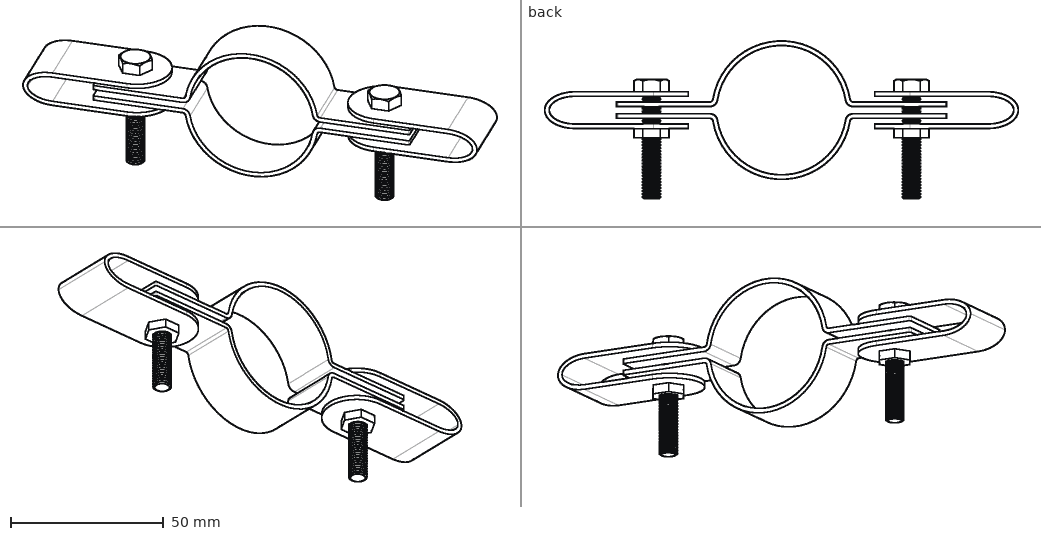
import cadquery as cq
import math

strap_thickness = 1.55
clamp_width = 20.0
clamp_outer_radius = 22.75
clamp_inner_radius = clamp_outer_radius - strap_thickness
clamp_half_height = 22.67
arch_center_z = clamp_half_height - clamp_outer_radius
flange_gap = 2.3
flange_end_x = 54.0
flange_corner_radius = 0.5
bend_inside_radius = 1.0
bend_outside_radius = bend_inside_radius + strap_thickness

loop_width = 23.0
loop_end_x = 77.5
loop_half_height = 6.05
loop_nose_length = 10.0
loop_tab_radius = loop_width / 2
loop_tab_center_x = 42.0
loop_tab_tip_x = loop_tab_center_x - loop_tab_radius

bolt_x = 42.5
bolt_diameter = 6.0
bolt_length = 35.0
hex_across_flats = 10.0
hex_across_corners = hex_across_flats / math.cos(math.radians(30))
head_height = 4.0
head_top_diameter = 9.8
head_chamfer_angle = 30.0
nut_height = 3.0
thread_pitch = 1.0
thread_depth = 0.54
thread_crest_width = 0.125
thread_root_width = 0.125

sides = (-1, 1)


def bolt_holes():
    """Cutting cylinders at both bolt positions, tall enough for all straps."""
    return (
        cq.Workplane("XY", origin=(0, 0, -loop_half_height))
        .pushPoints([(side * bolt_x, 0) for side in sides])
        .circle(bolt_diameter / 2)
        .extrude(2 * loop_half_height)
    )


def clamp_half():
    """Upper half: an arched strap with a flat flange on each side."""
    flange_bottom = flange_gap / 2
    flange_top = flange_bottom + strap_thickness

    bend_center_z = flange_top + bend_inside_radius
    bend_distance = clamp_outer_radius + bend_inside_radius
    arch_start = math.asin((bend_center_z - arch_center_z) / bend_distance)
    bend_center_x = bend_distance * math.cos(arch_start)
    bend_end_at_arch = arch_start + math.pi
    bend_end_at_flange = 1.5 * math.pi
    bend_middle = (bend_end_at_arch + bend_end_at_flange) / 2

    def on_arch(radius, side):
        return (
            side * radius * math.cos(arch_start),
            arch_center_z + radius * math.sin(arch_start),
        )

    def on_bend(radius, side):
        return (
            side * (bend_center_x + radius * math.cos(bend_middle)),
            bend_center_z + radius * math.sin(bend_middle),
        )

    arch_crown_inside = (0, arch_center_z + clamp_inner_radius)
    arch_crown_outside = (0, clamp_half_height)

    strap = (
        cq.Workplane("XZ", origin=(0, clamp_width / 2, 0))
        .moveTo(-flange_end_x, flange_bottom)
        .lineTo(-bend_center_x, flange_bottom)
        .threePointArc(on_bend(bend_outside_radius, -1), on_arch(clamp_inner_radius, -1))
        .threePointArc(arch_crown_inside, on_arch(clamp_inner_radius, 1))
        .threePointArc(on_bend(bend_outside_radius, 1), (bend_center_x, flange_bottom))
        .lineTo(flange_end_x, flange_bottom)
        .lineTo(flange_end_x, flange_top)
        .lineTo(bend_center_x, flange_top)
        .threePointArc(on_bend(bend_inside_radius, 1), on_arch(clamp_outer_radius, 1))
        .threePointArc(arch_crown_outside, on_arch(clamp_outer_radius, -1))
        .threePointArc(on_bend(bend_inside_radius, -1), (-bend_center_x, flange_top))
        .lineTo(-flange_end_x, flange_top)
        .close()
        .extrude(clamp_width)
    )
    strap = strap.edges("|Z").fillet(flange_corner_radius)
    return strap.cut(bolt_holes())


def loop_section(nose_length, half_height):
    """Block across Z = 0 whose +X end is a half ellipse."""
    nose_start_x = loop_end_x - loop_nose_length
    return (
        cq.Workplane("XZ", origin=(0, loop_width / 2, 0))
        .moveTo(loop_tab_tip_x, -half_height)
        .lineTo(nose_start_x, -half_height)
        .ellipseArc(nose_length, half_height, -90, 0, startAtCurrent=True)
        .ellipseArc(nose_length, half_height, 0, 90, startAtCurrent=True)
        .lineTo(loop_tab_tip_x, half_height)
        .close()
        .extrude(loop_width)
    )


def hanger_loop():
    """Strap folded back on itself on the +X side, with rounded tab ends."""
    outside = loop_section(loop_nose_length, loop_half_height)
    inside = loop_section(loop_nose_length - strap_thickness, loop_half_height - strap_thickness)
    plan = (
        cq.Workplane("XY", origin=(0, 0, -loop_half_height))
        .moveTo(loop_end_x, -loop_tab_radius)
        .lineTo(loop_end_x, loop_tab_radius)
        .lineTo(loop_tab_center_x, loop_tab_radius)
        .threePointArc((loop_tab_tip_x, 0), (loop_tab_center_x, -loop_tab_radius))
        .close()
        .extrude(2 * loop_half_height)
    )
    return outside.cut(inside).intersect(plan).cut(bolt_holes())


def bolt_head():
    """Hexagon head with its top corners beveled by a cone."""
    head = cq.Workplane("XY").polygon(6, hex_across_corners).extrude(head_height)
    corner_radius = hex_across_corners / 2
    flat_radius = head_top_diameter / 2
    bevel_drop = (corner_radius - flat_radius) * math.tan(math.radians(head_chamfer_angle))
    bevel_envelope = (
        cq.Workplane("XZ")
        .lineTo(corner_radius, 0)
        .lineTo(corner_radius, head_height - bevel_drop)
        .lineTo(flat_radius, head_height)
        .lineTo(0, head_height)
        .close()
        .revolve(360, (0, 0), (0, 1))
    )
    return head.intersect(bevel_envelope)


def bolt_shank():
    """Shank with ring-shaped threads over its full length."""
    crest_radius = bolt_diameter / 2
    root_radius = crest_radius - thread_depth
    crest_edge = thread_crest_width / 2
    root_edge = (thread_pitch - thread_root_width) / 2
    thread_count = round(bolt_length / thread_pitch)

    outline = cq.Workplane("XZ").lineTo(root_radius, 0)
    for index in range(thread_count):
        crest_z = -(index + 0.5) * thread_pitch
        outline = (
            outline.lineTo(root_radius, crest_z + root_edge)
            .lineTo(crest_radius, crest_z + crest_edge)
            .lineTo(crest_radius, crest_z - crest_edge)
            .lineTo(root_radius, crest_z - root_edge)
        )
    outline = outline.lineTo(root_radius, -bolt_length).lineTo(0, -bolt_length)
    return outline.close().revolve(360, (0, 0), (0, 1))


def bolt():
    """Bolt on the Z axis with the underside of its head at Z = 0."""
    return bolt_head().union(bolt_shank())


def nut():
    """Hexagon nut on the Z axis with its upper face at Z = 0."""
    return (
        cq.Workplane("XY")
        .polygon(6, hex_across_corners)
        .circle(bolt_diameter / 2)
        .extrude(-nut_height)
    )


upper_clamp = clamp_half()
lower_clamp = upper_clamp.rotate((0, 0, 0), (1, 0, 0), 180)
bodies = [upper_clamp.val(), lower_clamp.val()]

right_loop = hanger_loop()
for side, turn in zip(sides, (180, 0)):
    bodies.append(right_loop.rotate((0, 0, 0), (0, 0, 1), turn).val())
    bodies.append(bolt().translate((side * bolt_x, 0, loop_half_height)).val())
    bodies.append(nut().translate((side * bolt_x, 0, -loop_half_height)).val())

result = cq.Compound.makeCompound(bodies)